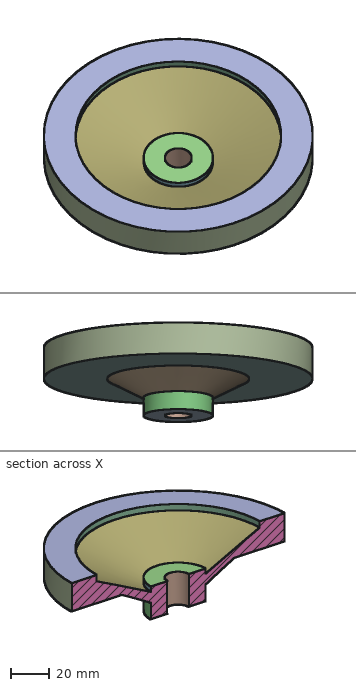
import cadquery as cq

rim_radius = 70.0
rim_inner_radius = 53.5
rim_height = 16.5
lip_depth = 3.6

hub_radius = 18.0
bore_radius = 7.0
hub_height = 19.0
hub_step = 3.0

web_bottom_inner = 9.5
web_bottom_radius = 37.0

total_height = 36.0
rim_bottom = total_height - rim_height
dish_inner = hub_height - hub_step
dish_outer = total_height - lip_depth

section = (
    cq.Workplane("XZ")
    .moveTo(bore_radius, 0)
    .lineTo(hub_radius, 0)
    .lineTo(hub_radius, web_bottom_inner)
    .lineTo(web_bottom_radius, rim_bottom)
    .lineTo(rim_radius, rim_bottom)
    .lineTo(rim_radius, total_height)
    .lineTo(rim_inner_radius, total_height)
    .lineTo(rim_inner_radius, dish_outer)
    .lineTo(hub_radius, dish_inner)
    .lineTo(hub_radius, hub_height)
    .lineTo(bore_radius, hub_height)
    .close()
)

result = section.revolve(360, (0, 0, 0), (0, 1, 0))